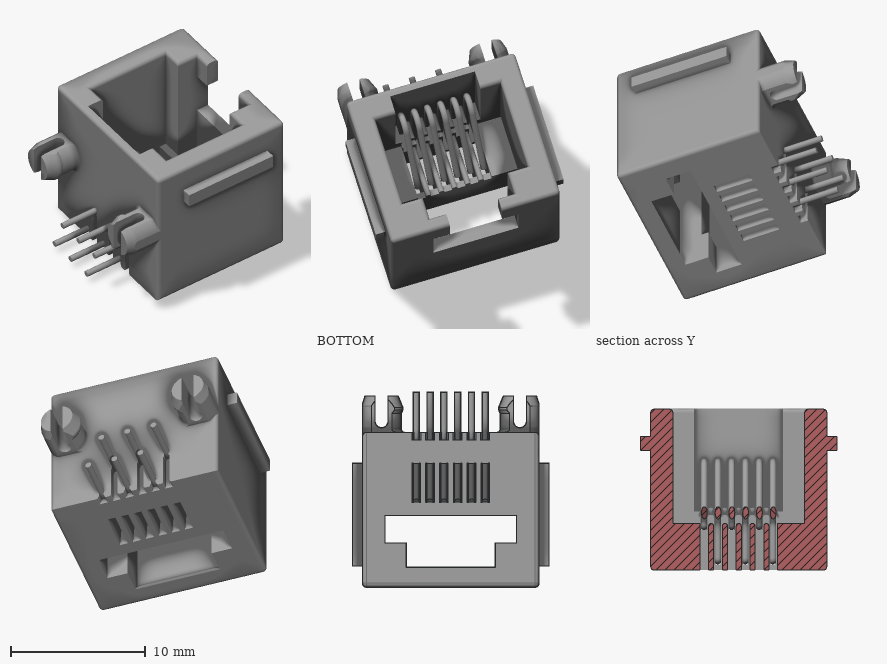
import cadquery as cq
import math

sin_45 = math.sqrt(0.5)
selection_margin = 0.15


body_width = 13.11
body_depth = 11.5
body_height = 12.0
edge_radius = 0.3

cavity_width = 9.75
cavity_front = 1.95
shoulder_y = 8.77
key_width = 6.6
key_back = 10.5
ledge_y = 8.2
ledge_height = 2.92
bar_foot_y = 10.02
bar_foot_height = 0.83

latch_gap_width = 4.05
window_bottom = 6.53
window_top = 9.87

wire_radius = 0.23
wire_pitch = 1.02
wire_count = 6
pin_end_y = -3.0
low_row_z = 0.67
row_spacing = 2.54
crown_z = 8.06
crown_radius = 0.79
foot_radius = 0.25
descent_angle = 60.0
tip_y = 5.15

slot_width = key_width
slot_front = 0.58
riser_y = slot_front + foot_radius
slot_floor = 4.38
channel_width = 0.5
neck_width = 0.36
neck_length = 0.41
neck_taper = 0.06
relief_height = 0.3
mouth_width = 0.67
mouth_height = 0.13

block_back = 6.19
block_top = 3.5
web_back = 2.3
web_top = 4.09
gap_width = 0.61
shelf_height = 3.07
shelf_front = 5.72
shelf_foot_y = 5.18

overall_width = 14.6
rail_front = 2.29
rail_length = 7.64
rail_bottom = 8.88
rail_height = 1.08

peg_x = 5.14
peg_z = 6.54
peg_length = 2.7
peg_radius = 1.47
peg_tip_radius = 1.24
peg_flat_width = 2.53
peg_taper_start = 1.94
peg_foot_radius = 0.25
barb_radius = 1.59
barb_root = 1.42
barb_start = 1.65
barb_end = 1.84
peg_slot_width = 0.95
peg_slot_start = 0.35


def block(x_width, y_range, z_range, x_center=0.0):
    """Box centred on x_center, between the given Y and Z limits."""
    y_size = y_range[1] - y_range[0]
    z_size = z_range[1] - z_range[0]
    box = cq.Workplane("XY").box(x_width, y_size, z_size, centered=(True, False, False))
    return box.translate((x_center, y_range[0], z_range[0]))


def side_profile(points, x_width):
    """Prism with a (Y, Z) outline, centred on X = 0."""
    return cq.Workplane("YZ").polyline(points).close().extrude(x_width / 2, both=True)


def wire_x(index):
    """X of a wire; a half index gives the middle between two wires."""
    return (index - (wire_count - 1) / 2) * wire_pitch


def wire_row_z(index):
    """Wires alternate between the low and the high pin row."""
    return low_row_z + row_spacing * (index % 2)


def make_shell():
    """Rounded box, sharp only on its front bottom edge, with the plug cavity right through."""
    shell = block(body_width, (0, body_depth), (0, body_height))
    m = selection_margin
    front_bottom = cq.selectors.BoxSelector((-m, -m, -m), (m, m, m))
    shell = shell.edges(cq.selectors.InverseSelector(front_bottom)).fillet(edge_radius)
    wide = block(cavity_width, (cavity_front, shoulder_y), (0, body_height))
    key = block(key_width, (cavity_front, key_back), (0, body_height))
    shell = shell.cut(wide.union(key))
    rim = cq.selectors.BoxSelector(
        (-cavity_width / 2 - m, cavity_front - m, body_height - m),
        (cavity_width / 2 + m, key_back + m, body_height + m),
    )
    return shell.edges(rim).fillet(edge_radius)


def make_latch_opening():
    """Window through the back wall with a narrower gap from its top to the rim."""
    wall = (key_back, body_depth)
    window = block(key_width, wall, (window_bottom, window_top))
    gap = block(latch_gap_width, wall, (window_top, body_height))
    return window.union(gap)


def make_cavity_steps():
    """Low ledges under the shoulders and the sloping foot of the back bar."""
    ledges = block(cavity_width, (ledge_y, shoulder_y), (0, ledge_height))
    ledges = ledges.cut(block(key_width, (ledge_y, shoulder_y), (0, ledge_height)))
    foot = side_profile([(key_back, 0), (bar_foot_y, 0), (key_back, bar_foot_height)], key_width)
    return ledges.union(foot)


def make_fin(x_center, width, y_range, root_z, spring_z):
    """Rib along Y with a half-round top that springs at spring_z."""
    fin = block(width, y_range, (root_z, spring_z), x_center)
    crown = cq.Workplane("XZ").center(x_center, spring_z).circle(width / 2)
    crown = crown.extrude(y_range[0] - y_range[1]).translate((0, y_range[0], 0))
    return fin.union(crown)


def make_floor_block():
    """Block across the cavity with a comb of fins that separate the wires."""
    comb_width = (wire_count - 1) * wire_pitch + gap_width
    floor = block(cavity_width, (cavity_front, block_back), (0, block_top))
    floor = floor.union(block(comb_width, (cavity_front, web_back), (0, web_top)))
    pocket = [
        (web_back, 0),
        (shelf_foot_y, 0),
        (shelf_front, shelf_height),
        (block_back, shelf_height),
        (block_back, block_top),
        (web_back, block_top),
    ]
    floor = floor.cut(side_profile(pocket, comb_width))
    fin_width = wire_pitch - gap_width
    for index in range(wire_count - 1):
        x_center = wire_x(index + 0.5)
        spring_z = block_top - fin_width / 2
        floor = floor.union(make_fin(x_center, fin_width, (web_back, block_back), 0, spring_z))
    return floor


def make_slot_ribs():
    """Half-round ribs on the floor of the contact slot, between the wires."""
    width = wire_pitch - channel_width
    ribs = cq.Workplane("XY")
    for index in range(wire_count - 1):
        x_center = wire_x(index + 0.5)
        root_z = slot_floor - width / 2
        ribs = ribs.add(make_fin(x_center, width, (slot_front, cavity_front), root_z, slot_floor))
    return ribs.combine()


def make_wire_channel(index):
    """Keyhole through the front wall that opens downward, then a riser channel whose floor meets the wire."""
    row_z = wire_row_z(index)
    shoulder_z = row_z - neck_length
    right_side = [
        (neck_width / 2, row_z + relief_height),
        (neck_width / 2, shoulder_z),
        (channel_width / 2, shoulder_z - neck_taper),
        (channel_width / 2, mouth_height),
        (mouth_width / 2, 0),
    ]
    left_side = [(-x, z) for x, z in reversed(right_side)]
    keyhole = cq.Workplane("XZ").polyline(right_side + left_side).close().extrude(-slot_front)
    bore = cq.Workplane("XZ").center(0, row_z).circle(wire_radius).extrude(-slot_front)
    riser = block(channel_width, (slot_front, web_back), (row_z - wire_radius, body_height))
    return keyhole.union(bore).union(riser).translate((wire_x(index), 0, 0))


def make_rail(side):
    """Plain rail on one side wall."""
    width = (overall_width - body_width) / 2
    rail_range_y = (rail_front, rail_front + rail_length)
    rail_range_z = (rail_bottom, rail_bottom + rail_height)
    return block(width, rail_range_y, rail_range_z, side * (body_width + width) / 2)


def make_peg(side):
    """Split peg: plain outer half, barbed inner half, flat above and below.

    The outer half reaches back into the housing past the rounded corner edge.
    """
    shaft = [
        (0, edge_radius),
        (peg_radius, edge_radius),
        (peg_radius, -peg_taper_start),
        (peg_tip_radius, -peg_length),
        (0, -peg_length),
    ]
    outer = cq.Workplane("XY").polyline(shaft).close().revolve(360, (0, 0, 0), (0, 1, 0))
    foot_mid = peg_foot_radius * (1 - sin_45)
    inner = (
        cq.Workplane("XY")
        .moveTo(0, 0)
        .lineTo(peg_radius + peg_foot_radius, 0)
        .threePointArc((peg_radius + foot_mid, -foot_mid), (peg_radius, -peg_foot_radius))
        .lineTo(peg_radius, -barb_root)
        .lineTo(barb_radius, -barb_start)
        .lineTo(barb_radius, -barb_end)
        .lineTo(peg_tip_radius, -peg_length)
        .lineTo(0, -peg_length)
        .close()
        .revolve(360, (0, 0, 0), (0, 1, 0))
    )
    half_size = 2 * peg_radius
    y_range = (-peg_length, edge_radius)
    z_range = (-peg_flat_width / 2, peg_flat_width / 2)
    outer_limit = body_width / 2 - peg_x
    outer = outer.intersect(block(outer_limit, y_range, z_range, side * outer_limit / 2))
    inner = inner.intersect(block(half_size, y_range, z_range, -side * half_size / 2))
    slot_center = -peg_slot_start - peg_slot_width / 2
    slot = block(peg_slot_width, (-peg_length, slot_center), z_range)
    slot_end = cq.Workplane("XY").center(0, slot_center).circle(peg_slot_width / 2)
    slot = slot.union(slot_end.extrude(peg_flat_width / 2, both=True))
    return outer.union(inner).cut(slot).translate((side * peg_x, 0, peg_z))


def make_wire(index):
    """Round wire: pin, riser in the front wall, crown bend and spring leg down into the cavity."""
    row_z = wire_row_z(index)
    angle = math.radians(descent_angle)
    foot_center = (riser_y - foot_radius, row_z + foot_radius)
    crown_center = (riser_y + crown_radius, crown_z - crown_radius)
    leg_start = (
        crown_center[0] + crown_radius * math.sin(angle),
        crown_center[1] + crown_radius * math.cos(angle),
    )
    tip_z = leg_start[1] - (tip_y - leg_start[0]) * math.tan(angle)
    path = (
        cq.Workplane("YZ")
        .moveTo(pin_end_y, row_z)
        .lineTo(foot_center[0], row_z)
        .threePointArc(
            (foot_center[0] + foot_radius * sin_45, foot_center[1] - foot_radius * sin_45),
            (riser_y, foot_center[1]),
        )
        .lineTo(riser_y, crown_center[1])
        .threePointArc(
            (crown_center[0] - crown_radius * sin_45, crown_center[1] + crown_radius * sin_45),
            leg_start,
        )
        .lineTo(tip_y, tip_z)
    )
    section = cq.Workplane("XZ", origin=(0, pin_end_y, row_z)).circle(wire_radius)
    return section.sweep(path).translate((wire_x(index), 0, 0))


def make_housing():
    """Housing, with the inner wires held as part of it."""
    housing = make_shell().cut(make_latch_opening()).union(make_cavity_steps())
    contact_slot = block(slot_width, (slot_front, cavity_front), (slot_floor, body_height))
    housing = housing.cut(contact_slot)
    housing = housing.union(make_floor_block()).union(make_slot_ribs())
    for index in range(wire_count):
        housing = housing.cut(make_wire_channel(index))
    for side in (-1, 1):
        housing = housing.union(make_rail(side)).union(make_peg(side))
    for index in range(1, wire_count - 1):
        housing = housing.union(make_wire(index))
    return housing


housing = make_housing()
outer_contacts = [make_wire(index) for index in (0, wire_count - 1)]

result = cq.Compound.makeCompound([housing.val(), *[contact.val() for contact in outer_contacts]])